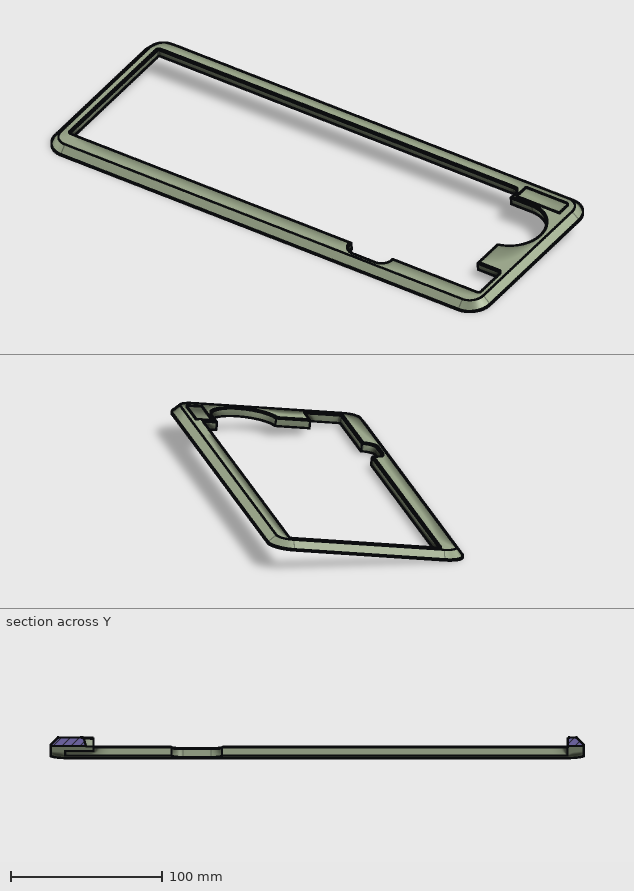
import cadquery as cq
import math

TILT_ANGLE = 7.0
LENGTH = 352.51
THICKNESS = 6.0
BEVEL = 5.0
LIP_HEIGHT = THICKNESS - BEVEL
DEPTH_OVER_Y = 131.28
CORNER_RADIUS = 15.0

tilt = math.radians(TILT_ANGLE)
WIDTH = (DEPTH_OVER_Y - LIP_HEIGHT * math.sin(tilt)) / math.cos(tilt)
HALF_LENGTH = LENGTH / 2

LEFT_BORDER = 10.75
RIGHT_BORDER = 9.6
REAR_BORDER = 13.75
FRONT_BORDER = 16.85
WINDOW_CORNER_RADIUS = 1.0
WINDOW_EDGE_BREAK = 0.85

left = -HALF_LENGTH + LEFT_BORDER
right = HALF_LENGTH - RIGHT_BORDER
rear = WIDTH - REAR_BORDER
front = FRONT_BORDER

BAY_RADIUS = 22.25
BAY_CENTER_Y = 86.7
bay_center_x = right - BAY_RADIUS
bay_rear = BAY_CENTER_Y + BAY_RADIUS

STEP_X = 127.05
STEP_CORNER_RADIUS = 4.0

TAB_X = 147.8
TAB_FRONT_Y = 41.45
TAB_ROOT_RADIUS = 2.0

NOTCH_CENTER_X = 79.6
NOTCH_WIDTH = 33.5
NOTCH_FLOOR_Y = 8.4
NOTCH_CORNER_RADIUS = 7.5

PLATE_LEFT = 129.8
PLATE_RIGHT = 164.6
PLATE_FRONT = 111.8
PLATE_REAR = 122.8
PLATE_CORNER_RADIUS = 2.0
PLATE_DEPTH = 0.5


def make_plate():
    """Rounded plate with a short upright lip and a 45 degree outer bevel."""
    blank = (
        cq.Workplane("XY")
        .rect(LENGTH, WIDTH)
        .extrude(THICKNESS)
        .translate((0, WIDTH / 2, 0))
        .edges("|Z")
        .fillet(CORNER_RADIUS)
    )
    return blank.faces(">Z").edges().chamfer(BEVEL)


def round_corners(solid, points, radius):
    """Fillet the upright edges of a solid nearest to the given points."""
    for x, y in points:
        corner = cq.selectors.NearestToPointSelector((x, y, THICKNESS / 2))
        solid = solid.edges(corner).fillet(radius)
    return solid


def make_window():
    """Solid that fills the window, with its bay, step, tab and finger notch."""
    tab_rear = BAY_CENTER_Y - math.sqrt(BAY_RADIUS**2 - (TAB_X - bay_center_x) ** 2)
    notch_left = NOTCH_CENTER_X - NOTCH_WIDTH / 2
    notch_right = NOTCH_CENTER_X + NOTCH_WIDTH / 2
    solid = (
        cq.Workplane("XY")
        .moveTo(left, front)
        .lineTo(left, rear)
        .lineTo(STEP_X, rear)
        .lineTo(STEP_X, bay_rear)
        .lineTo(bay_center_x, bay_rear)
        .threePointArc((right, BAY_CENTER_Y), (TAB_X, tab_rear))
        .lineTo(TAB_X, TAB_FRONT_Y)
        .lineTo(right, TAB_FRONT_Y)
        .lineTo(right, front)
        .lineTo(notch_right, front)
        .lineTo(notch_right, NOTCH_FLOOR_Y)
        .lineTo(notch_left, NOTCH_FLOOR_Y)
        .lineTo(notch_left, front)
        .close()
        .extrude(THICKNESS)
    )
    frame_corners = [(left, front), (left, rear), (right, front)]
    notch_corners = [(notch_left, NOTCH_FLOOR_Y), (notch_right, NOTCH_FLOOR_Y)]
    solid = round_corners(solid, frame_corners, WINDOW_CORNER_RADIUS)
    solid = round_corners(solid, [(STEP_X, rear)], STEP_CORNER_RADIUS)
    solid = round_corners(solid, [(right, TAB_FRONT_Y)], TAB_ROOT_RADIUS)
    return round_corners(solid, notch_corners, NOTCH_CORNER_RADIUS)


def break_window_edge(frame):
    """Chamfer the upper edge of the window all the way round."""
    window_outline = frame.faces(">Z").val().innerWires()[0]
    return frame.newObject(window_outline.Edges()).chamfer(WINDOW_EDGE_BREAK)


def make_nameplate_recess():
    """Shallow block for the nameplate, with its outer rear corner rounded."""
    return (
        cq.Workplane("XY", origin=(0, 0, THICKNESS - PLATE_DEPTH))
        .moveTo(PLATE_LEFT, PLATE_FRONT)
        .lineTo(PLATE_RIGHT, PLATE_FRONT)
        .lineTo(PLATE_RIGHT, PLATE_REAR - PLATE_CORNER_RADIUS)
        .radiusArc((PLATE_RIGHT - PLATE_CORNER_RADIUS, PLATE_REAR), -PLATE_CORNER_RADIUS)
        .lineTo(PLATE_LEFT, PLATE_REAR)
        .close()
        .extrude(PLATE_DEPTH)
    )


def tilt_frame(part):
    """Tilt the frame with its rear edge up, then center it along Y."""
    tilted = part.rotate((0, 0, 0), (1, 0, 0), TILT_ANGLE)
    return tilted.translate((0, LIP_HEIGHT * math.sin(tilt) - DEPTH_OVER_Y / 2, 0))


frame = make_plate().cut(make_window())
frame = break_window_edge(frame)
frame = frame.cut(make_nameplate_recess())
result = tilt_frame(frame)